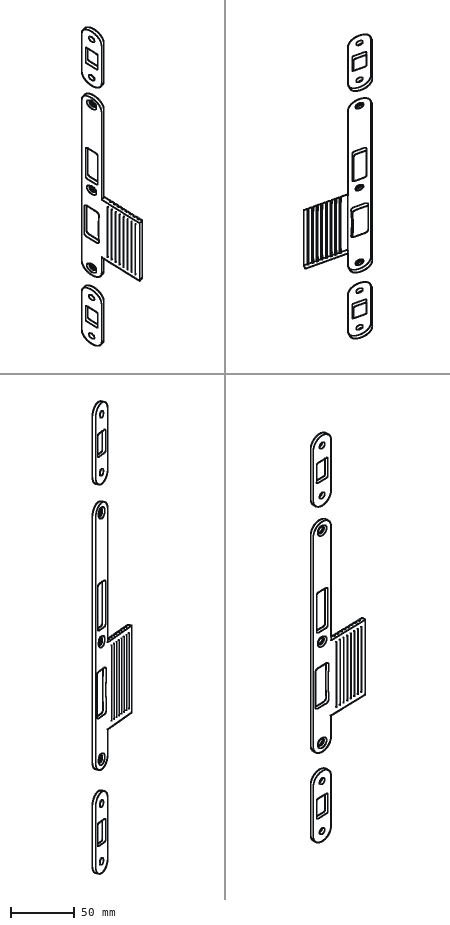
import cadquery as cq
import math

total_height = 405.0
overall_width = 58.0
plate_width = 20.0
plate_thickness = 3.08
tongue_thickness = 3.55
cut_depth = 2 * tongue_thickness

small_height = 70.0
small_hole_dia = 5.5
small_hole_spacing = 50.0
small_window_width = 12.0
small_window_height = 20.0
small_window_radius = 1.2
small_center_heights = [small_height / 2, total_height - small_height / 2]

main_height = 229.7
main_center_z = 204.2

screw_hole_dia = 7.0
screw_sink_dia = 9.7
screw_sink_angle = 90.0
screw_end_spacing = 212.0
screw_middle_drop = 5.0
screw_heights = [
    main_center_z + screw_end_spacing / 2,
    main_center_z - screw_middle_drop,
    main_center_z - screw_end_spacing / 2,
]

bolt_window_width = 12.0
bolt_window_height = 40.0
bolt_window_rise = 26.5
bolt_window_radius = 2.0
bolt_center_z = main_center_z + bolt_window_rise

latch_window_width = 15.0
latch_window_height = 40.0
latch_window_drop = 49.0
latch_window_radius = 3.0
latch_side_bow = 1.0
latch_center_z = main_center_z - latch_window_drop

tongue_left = plate_width / 2
tongue_right = overall_width - plate_width / 2
tongue_height = 75.0
tongue_drop = 46.5
tongue_center_z = main_center_z - tongue_drop

slit_count = 8
slit_pitch = 3.97
slit_width = 0.32
slit_height = 65.0
first_slit_inset = 6.0
groove_width = 1.2
groove_depth = 1.0


def upright_box(x_left, x_right, y_front, y_back, height, center_z):
    """Box between the given X and Y limits, centred on center_z."""
    return (
        cq.Workplane("XY")
        .box(x_right - x_left, y_back - y_front, height, centered=(False, False, True))
        .translate((x_left, y_front, center_z))
    )


def front_plane(z):
    """Workplane on the front face, at height z; extruding by a negative length goes toward +Y."""
    return cq.Workplane("XZ", origin=(0, 0, z))


def round_ended_plate(height, center_z):
    return front_plane(center_z).slot2D(height, plate_width, 90).extrude(-plate_thickness)


def window_cutter(width, height, radius, center_z):
    return front_plane(center_z).rect(width, height).extrude(-cut_depth).edges("|Y").fillet(radius)


def latch_window_cutter():
    half_width = latch_window_width / 2
    half_height = latch_window_height / 2
    cutter = (
        front_plane(latch_center_z)
        .moveTo(-half_width, -half_height)
        .lineTo(half_width, -half_height)
        .threePointArc((half_width - latch_side_bow, 0), (half_width, half_height))
        .lineTo(-half_width, half_height)
        .close()
        .extrude(-cut_depth)
    )
    return cutter.edges("|Y").fillet(latch_window_radius)


def screw_hole_cutter(z):
    """Through bore with a conical countersink at the front face."""
    sink_depth = (screw_sink_dia - screw_hole_dia) / 2 / math.tan(math.radians(screw_sink_angle / 2))
    bore = front_plane(z).circle(screw_hole_dia / 2).extrude(-cut_depth)
    cone = cq.Solid.makeCone(
        screw_sink_dia / 2, screw_hole_dia / 2, sink_depth, cq.Vector(0, 0, z), cq.Vector(0, 1, 0)
    )
    return bore.union(cq.Workplane(obj=cone))


def make_tongue():
    """Slitted tongue, reaching back to the plate's edge."""
    tongue = upright_box(tongue_left, tongue_right, 0, tongue_thickness, tongue_height, tongue_center_z)
    groove_floor = tongue_thickness - groove_depth
    for i in range(slit_count):
        wall_x = tongue_left + first_slit_inset + i * slit_pitch - slit_width / 2
        slit = upright_box(wall_x, wall_x + slit_width, 0, tongue_thickness, slit_height, tongue_center_z)
        groove = upright_box(
            wall_x, wall_x + groove_width, groove_floor, tongue_thickness, tongue_height, tongue_center_z
        )
        tongue = tongue.cut(slit).cut(groove)
    return tongue


def make_small_plate(center_z):
    window = window_cutter(small_window_width, small_window_height, small_window_radius, center_z)
    holes = (
        front_plane(center_z)
        .rarray(4, small_hole_spacing, 1, 2)
        .circle(small_hole_dia / 2)
        .extrude(-cut_depth)
    )
    return round_ended_plate(small_height, center_z).cut(window).cut(holes)


def make_main_plate():
    plate = round_ended_plate(main_height, main_center_z).union(make_tongue())
    plate = plate.cut(window_cutter(bolt_window_width, bolt_window_height, bolt_window_radius, bolt_center_z))
    plate = plate.cut(latch_window_cutter())
    for z in screw_heights:
        plate = plate.cut(screw_hole_cutter(z))
    return plate


main_plate = make_main_plate()
small_plates = [make_small_plate(z) for z in small_center_heights]

result = cq.Compound.makeCompound([main_plate.val(), *[plate.val() for plate in small_plates]])